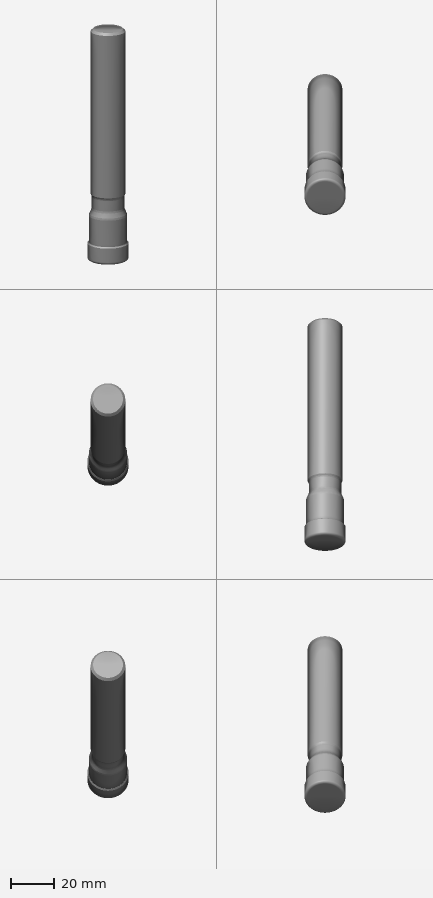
import cadquery as cq
import math

TOTAL_LENGTH = 111.1

SHANK_RADIUS = 8.0
NECK_RADIUS = 7.5
BODY_RADIUS = 8.83
COLLAR_RADIUS = 9.5

COLLAR_TOP = 8.6
CONE_BASE = 21.8
CONE_TOP = 24.8
SHANK_BASE = 31.8

TOP_CHAMFER = 1.1
CONE_BLEND_RADIUS = 2.5
NECK_BLEND_RADIUS = 1.5
SHANK_TAPER_ANGLE = 25.0
COLLAR_BASE_FILLET = 1.2
COLLAR_TOP_CHAMFER = 0.6

NECK_TOP = SHANK_BASE - (SHANK_RADIUS - NECK_RADIUS) / math.tan(math.radians(SHANK_TAPER_ANGLE))


def circle_at(radius, height):
    """Selector for the circular edge of the given radius at the given height."""
    margin = 0.1
    reach = radius + margin
    return cq.selectors.BoxSelector(
        (-reach, -reach, height - margin), (reach, reach, height + margin), boundingbox=True
    )


def make_shaft():
    """Turned shaft standing on the collar: body, cone, relieved neck and long shank."""
    profile = (
        cq.Workplane("XZ")
        .moveTo(0, COLLAR_TOP)
        .lineTo(BODY_RADIUS, COLLAR_TOP)
        .lineTo(BODY_RADIUS, CONE_BASE)
        .lineTo(NECK_RADIUS, CONE_TOP)
        .lineTo(NECK_RADIUS, NECK_TOP)
        .lineTo(SHANK_RADIUS, SHANK_BASE)
        .lineTo(SHANK_RADIUS, TOTAL_LENGTH)
        .lineTo(0, TOTAL_LENGTH)
        .close()
    )
    shaft = profile.revolve(360, (0, 0, 0), (0, 1, 0))
    shaft = shaft.faces(">Z").chamfer(TOP_CHAMFER)
    shaft = shaft.edges(circle_at(BODY_RADIUS, CONE_BASE)).fillet(CONE_BLEND_RADIUS)
    shaft = shaft.edges(circle_at(NECK_RADIUS, CONE_TOP)).fillet(CONE_BLEND_RADIUS)
    return shaft.edges(circle_at(NECK_RADIUS, NECK_TOP)).fillet(NECK_BLEND_RADIUS)


def make_collar():
    """Disc at the foot of the shaft with a rounded lower rim and a chamfered upper rim."""
    collar = cq.Workplane("XY").circle(COLLAR_RADIUS).extrude(COLLAR_TOP)
    collar = collar.faces("<Z").edges().fillet(COLLAR_BASE_FILLET)
    return collar.faces(">Z").edges().chamfer(COLLAR_TOP_CHAMFER)


shaft = make_shaft()
collar = make_collar()

result = cq.Compound.makeCompound([shaft.val(), collar.val()])